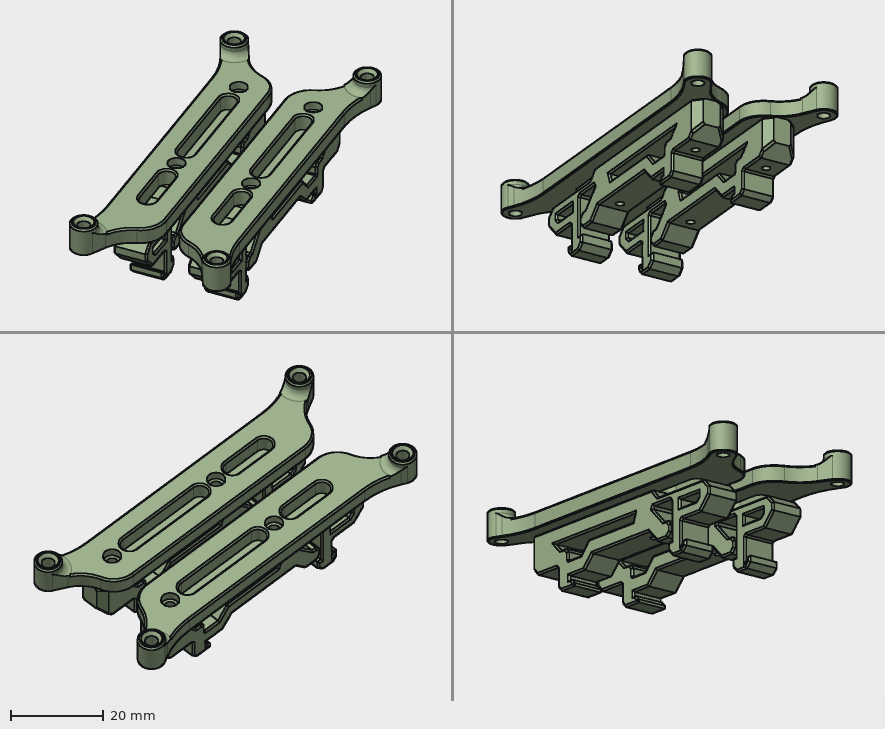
import cadquery as cq
import math


PLATE_THICKNESS = 4.0
PLATE_OUTER_X = -15.9
PLATE_INNER_X = -1.9
OUTER_EDGE_END_Y = 26.8
INNER_EDGE_END_Y = 26.1
TOP_CHAMFER = 0.4
BOTTOM_CHAMFER = 0.25

BOSS_DIAMETER = 6.1
BOSS_RADIUS = BOSS_DIAMETER / 2
BOSS_HEIGHT = 6.85
BOSS_X = -15.9
BOSS_Y = 41.3 - BOSS_RADIUS
BOSS_HOLE_DIAMETER = 2.9
BOSS_HOLE_CHAMFER = 0.8
BOSS_RIM_CHAMFER = 0.4
BOSS_BLEND_RADIUS = 2.0
BOSS_BLEND_OVERLAP = 0.04

OUTER_ARM_RADIUS = 19.4
INNER_ARM_RADIUS = 9.6
SHOULDER_RADIUS = 6.2
SHOULDER_ANGLE = 71.5

CENTRE_X = -8.9
SCREW_YS = (25.7, -5.95)
SCREW_HEAD_DIAMETER = 4.0
SCREW_HEAD_DEPTH = 2.0
SCREW_CLEARANCE_DIAMETER = 2.4
SCREW_THREAD_DIAMETER = 1.9
SLOT_WIDTH = 4.0
SLOT_CHAMFER = 0.4
SLOT_ARC_CENTRES = ((20.4, -1.0), (-10.9, -20.5))

CLIP_WIDTH = 8.0
CLIP_EDGE_CHAMFER = 0.4
CLIP_END_CHAMFER = 1.8
EDGE_TOLERANCE = 0.1
CLIP_END_Y = 32.5
CLIP_BOTTOM_Z = -16.8
BEAM_BOTTOM_Z = -9.2
BLOCK_BOTTOM_Z = -12.15
STEP_Z = -2.15

CLIP_OUTLINE = [
    (CLIP_END_Y, 0), (CLIP_END_Y, -6.2), (29.6, BEAM_BOTTOM_Z),
    (23.05, BEAM_BOTTOM_Z), (22.55, -9.6), (22.55, -13.8), (21.5, -14.9), (17.0, -14.9),
    (17.0, -14.2), (18.1, -13.1), (18.6, -13.1), (18.6, BLOCK_BOTTOM_Z),
    (13.55, BLOCK_BOTTOM_Z), (10.65, BEAM_BOTTOM_Z), (-8.7, BEAM_BOTTOM_Z), (-11.65, BLOCK_BOTTOM_Z),
    (-15.0, BLOCK_BOTTOM_Z), (-16.1, -11.1), (-16.1, -9.3), (-15.0, -8.3), (-14.0, -8.3),
    (-10.1, -4.4), (-10.4, -3.7), (-16.1, -3.7),
    (-16.6, -4.2), (-16.6, -13.4), (-15.5, -13.4), (-15.5, -15.4), (-17.0, CLIP_BOTTOM_Z),
    (-20.15, CLIP_BOTTOM_Z), (-21.4, -15.5), (-21.4, -14.1), (-20.7, -14.1), (-19.9, -14.95),
    (-19.9, -9.6), (-20.4, BEAM_BOTTOM_Z),
    (-26.5, BEAM_BOTTOM_Z), (-29.6, -5.95), (-29.6, -4.05), (-27.6, STEP_Z), (-12.0, STEP_Z), (-10.0, 0),
]
BEAM_WINDOW = [
    (23.45, -3.7), (-4.0, -3.7), (-3.3, -5.6), (12.0, -5.6), (14.7, -8.6), (18.75, -8.6),
    (19.0, -8.35), (19.0, -6.6), (20.0, -5.6), (21.55, -5.6),
]
TAB_WINDOW = [(-19.5, -4.55), (-26.0, -4.55), (-26.0, -5.6), (-25.1, -6.5), (-19.5, -6.5)]


def polar_point(centre, radius, angle):
    """Point at the given angle on a circle."""
    return (centre[0] + radius * math.cos(angle), centre[1] + radius * math.sin(angle))


def flank_angle(arc_centre, arc_radius, turn):
    """Angle on an arm arc where the straight flank, tangent to the arc and to the boss, leaves it.

    The flank crosses between the two circles; turn is +1 or -1 and picks one of the two such lines.
    """
    dx = BOSS_X - arc_centre[0]
    dy = BOSS_Y - arc_centre[1]
    lean = math.acos((arc_radius + BOSS_RADIUS) / math.hypot(dx, dy))
    return math.atan2(dy, dx) % (2 * math.pi) + turn * lean


def plate_prism(height):
    """Prism of the plate without its bosses: half of the outline is drawn and mirrored about the X axis.

    Each arm ends in a notch that reaches the boss centre, and the boss fills it.
    """
    boss_centre = (BOSS_X, BOSS_Y)

    outer_centre = (PLATE_OUTER_X - OUTER_ARM_RADIUS, OUTER_EDGE_END_Y)
    outer_angle = flank_angle(outer_centre, OUTER_ARM_RADIUS, -1)

    shoulder_centre = (PLATE_INNER_X - SHOULDER_RADIUS, INNER_EDGE_END_Y)
    shoulder_angle = math.radians(SHOULDER_ANGLE)
    inner_centre = polar_point(shoulder_centre, SHOULDER_RADIUS + INNER_ARM_RADIUS, shoulder_angle)
    inner_angle = flank_angle(inner_centre, INNER_ARM_RADIUS, 1)

    return (
        cq.Workplane("XY")
        .moveTo(PLATE_OUTER_X, 0)
        .lineTo(PLATE_OUTER_X, OUTER_EDGE_END_Y)
        .threePointArc(
            polar_point(outer_centre, OUTER_ARM_RADIUS, outer_angle / 2),
            polar_point(outer_centre, OUTER_ARM_RADIUS, outer_angle),
        )
        .lineTo(*polar_point(boss_centre, -BOSS_RADIUS, outer_angle))
        .lineTo(*boss_centre)
        .lineTo(*polar_point(boss_centre, -BOSS_RADIUS, inner_angle))
        .lineTo(*polar_point(inner_centre, INNER_ARM_RADIUS, inner_angle))
        .threePointArc(
            polar_point(inner_centre, INNER_ARM_RADIUS, (inner_angle + shoulder_angle + math.pi) / 2),
            polar_point(shoulder_centre, SHOULDER_RADIUS, shoulder_angle),
        )
        .threePointArc(
            polar_point(shoulder_centre, SHOULDER_RADIUS, shoulder_angle / 2),
            (PLATE_INNER_X, INNER_EDGE_END_Y),
        )
        .lineTo(PLATE_INNER_X, 0)
        .mirrorX()
        .extrude(height)
    )


def boss(y):
    return (
        cq.Workplane("XY")
        .center(BOSS_X, y)
        .circle(BOSS_RADIUS)
        .extrude(BOSS_HEIGHT)
        .faces(">Z")
        .chamfer(BOSS_RIM_CHAMFER)
    )


def boss_blend(y):
    """Concave flare round a boss, cut off at the arm flanks."""
    top_radius = BOSS_RADIUS - BOSS_BLEND_OVERLAP
    top_z = PLATE_THICKNESS + BOSS_BLEND_RADIUS
    bottom_radius = top_radius + BOSS_BLEND_RADIUS
    sag = BOSS_BLEND_RADIUS * (1 - math.sqrt(0.5))
    flare = (
        cq.Workplane("XZ")
        .moveTo(0, 0)
        .lineTo(bottom_radius, 0)
        .lineTo(bottom_radius, PLATE_THICKNESS)
        .threePointArc((top_radius + sag, PLATE_THICKNESS + sag), (top_radius, top_z))
        .lineTo(0, top_z)
        .close()
        .revolve(360, (0, 0), (0, 1))
        .translate((BOSS_X, y, 0))
    )
    return flare.intersect(plate_prism(top_z + BOSS_BLEND_OVERLAP))


def boss_hole(y):
    """Through hole of a boss with a chamfered mouth."""
    radius = BOSS_HOLE_DIAMETER / 2
    return (
        cq.Workplane("XZ")
        .moveTo(0, 0)
        .lineTo(radius, 0)
        .lineTo(radius, BOSS_HEIGHT - BOSS_HOLE_CHAMFER)
        .lineTo(radius + BOSS_HOLE_CHAMFER, BOSS_HEIGHT)
        .lineTo(0, BOSS_HEIGHT)
        .close()
        .revolve(360, (0, 0), (0, 1))
        .translate((BOSS_X, y, 0))
    )


def slot(upper_y, lower_y):
    """Cutter for a lengthwise through slot with a chamfered top edge."""
    middle_y = (upper_y + lower_y) / 2
    length = upper_y - lower_y + SLOT_WIDTH
    cutter = (
        cq.Workplane("XY")
        .center(CENTRE_X, middle_y)
        .slot2D(length, SLOT_WIDTH, 90)
        .extrude(PLATE_THICKNESS)
    )
    mouth = (
        cq.Workplane("XY", origin=(0, 0, PLATE_THICKNESS))
        .center(CENTRE_X, middle_y)
        .slot2D(length + 2 * SLOT_CHAMFER, SLOT_WIDTH + 2 * SLOT_CHAMFER, 90)
        .extrude(-SLOT_CHAMFER, taper=45)
    )
    return cutter.union(mouth)


def make_plate():
    plate = plate_prism(PLATE_THICKNESS).faces(">Z").edges().chamfer(TOP_CHAMFER)
    for y in (BOSS_Y, -BOSS_Y):
        plate = plate.union(boss(y)).union(boss_blend(y))
    plate = plate.faces("<Z").edges().chamfer(BOTTOM_CHAMFER)
    for y in (BOSS_Y, -BOSS_Y):
        plate = plate.cut(boss_hole(y))
    for upper_y, lower_y in SLOT_ARC_CENTRES:
        plate = plate.cut(slot(upper_y, lower_y))
    return (
        plate.copyWorkplane(cq.Workplane("XY", origin=(0, 0, PLATE_THICKNESS)))
        .pushPoints([(CENTRE_X, y) for y in SCREW_YS])
        .cboreHole(SCREW_CLEARANCE_DIAMETER, SCREW_HEAD_DIAMETER, SCREW_HEAD_DEPTH)
    )


def side_prism(points):
    """Prism of a (Y, Z) outline across the full clip width."""
    return (
        cq.Workplane("YZ", origin=(CENTRE_X, 0, 0))
        .polyline(points)
        .close()
        .extrude(CLIP_WIDTH / 2, both=True)
    )


def chamfer_clip_sides(clip):
    """Break the edges round both sides, and those above and below the two cut end corners."""
    cut_start_y = CLIP_END_Y - CLIP_END_CHAMFER
    side_edges = clip.faces("<X or >X").edges().filter(
        lambda edge: edge.Center().y < cut_start_y - EDGE_TOLERANCE
    )
    corner_edges = clip.edges().filter(
        lambda edge: cut_start_y + EDGE_TOLERANCE < edge.Center().y < CLIP_END_Y - EDGE_TOLERANCE
    )
    return side_edges.add(corner_edges).chamfer(CLIP_EDGE_CHAMFER)


def make_clip():
    clip = side_prism(CLIP_OUTLINE)
    for window in (BEAM_WINDOW, TAB_WINDOW):
        clip = clip.cut(side_prism(window))
    clip = clip.faces(">Y").edges("|Z").chamfer(CLIP_END_CHAMFER)
    clip = chamfer_clip_sides(clip)
    screw_holes = (
        cq.Workplane("XY")
        .pushPoints([(CENTRE_X, y) for y in SCREW_YS])
        .circle(SCREW_THREAD_DIAMETER / 2)
        .extrude(CLIP_BOTTOM_Z)
    )
    return clip.cut(screw_holes)


bodies = []
for make_body in (make_plate, make_clip):
    left_body = make_body().solids()
    right_body = left_body.mirror("YZ")
    bodies += [left_body.val(), right_body.val()]

result = cq.Compound.makeCompound(bodies)